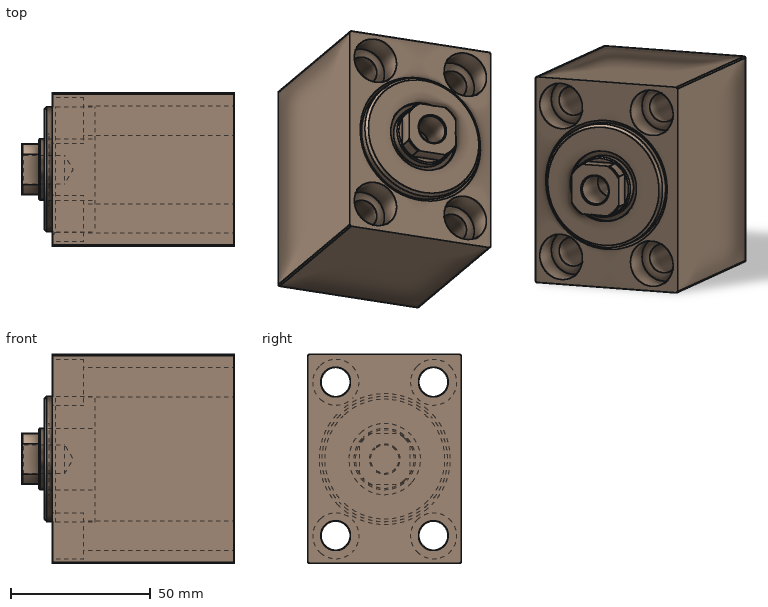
import cadquery as cq
import math


TOTAL_LENGTH = 76.0
HOUSING_WIDTH = 55.0
HOUSING_HEIGHT = 75.0
HOUSING_EDGE_CHAMFER = 0.5
SEAT_DEPTH = 15.2
SEAT_MOUTH_CHAMFER = 1.0

BOLT_SPACING_Y = 35.0
BOLT_SPACING_Z = 55.0
BOLT_HOLE_DIAMETER = 10.5
COUNTERBORE_DIAMETER = 16.5
COUNTERBORE_DEPTH = 11.0

CAP_DIAMETER = 45.0
CAP_PROTRUSION = 3.0
CAP_CHAMFER = 1.0
CAP_RECESS_DIAMETER = 25.6
CAP_RECESS_DEPTH = 1.7

ROD_DIAMETER = 22.05
ROD_COLLAR_PROTRUSION = 2.0
ROD_COLLAR_CHAMFER = 0.5
TIP_LENGTH = 6.0
TIP_DIAMETER = 21.2
TIP_ACROSS_FLATS = 18.2
TIP_CHAMFER = 0.3
SOCKET_DIAMETER = 10.2
SOCKET_MOUTH_CHAMFER = 0.4
SOCKET_DEPTH = 15.2
DRILL_POINT_ANGLE = 118.0

CAP_FACE_X = -CAP_PROTRUSION
COLLAR_FACE_X = CAP_FACE_X - ROD_COLLAR_PROTRUSION
TIP_FACE_X = COLLAR_FACE_X - TIP_LENGTH
HOUSING_LENGTH = TOTAL_LENGTH + TIP_FACE_X


def cylinder(diameter, start_x, length):
    """Solid cylinder along +X."""
    return cq.Workplane("YZ", origin=(start_x, 0, 0)).circle(diameter / 2).extrude(length)


def cone(start_diameter, end_diameter, start_x, length):
    """Solid cone or truncated cone along +X."""
    return cq.Workplane(
        cq.Solid.makeCone(
            start_diameter / 2, end_diameter / 2, length, cq.Vector(start_x, 0, 0), cq.Vector(1, 0, 0)
        )
    )


def make_housing():
    block = (
        cq.Workplane("YZ")
        .rect(HOUSING_WIDTH, HOUSING_HEIGHT)
        .extrude(HOUSING_LENGTH)
        .edges("|X")
        .chamfer(HOUSING_EDGE_CHAMFER)
    )
    drilled_block = (
        block.faces("<X")
        .workplane(origin=(0, 0, 0))
        .rect(BOLT_SPACING_Y, BOLT_SPACING_Z, forConstruction=True)
        .vertices()
        .cboreHole(BOLT_HOLE_DIAMETER, COUNTERBORE_DIAMETER, COUNTERBORE_DEPTH)
    )
    seat = cylinder(CAP_DIAMETER, 0, SEAT_DEPTH)
    seat_mouth = cone(CAP_DIAMETER + 2 * SEAT_MOUTH_CHAMFER, CAP_DIAMETER, 0, SEAT_MOUTH_CHAMFER)
    return drilled_block.cut(seat).cut(seat_mouth)


def make_cap():
    disc = cylinder(CAP_DIAMETER, CAP_FACE_X, CAP_PROTRUSION + SEAT_DEPTH).faces("<X").chamfer(CAP_CHAMFER)
    rod_bore = cylinder(ROD_DIAMETER, CAP_FACE_X, CAP_PROTRUSION + SEAT_DEPTH)
    recess = cylinder(CAP_RECESS_DIAMETER, CAP_FACE_X, CAP_RECESS_DEPTH)
    return disc.cut(rod_bore).cut(recess)


def make_socket():
    """Blind hole with a countersunk mouth and a drill-point bottom."""
    bore = cylinder(SOCKET_DIAMETER, TIP_FACE_X, SOCKET_DEPTH)
    mouth = cone(
        SOCKET_DIAMETER + 2 * SOCKET_MOUTH_CHAMFER, SOCKET_DIAMETER, TIP_FACE_X, SOCKET_MOUTH_CHAMFER
    )
    point_length = SOCKET_DIAMETER / 2 / math.tan(math.radians(DRILL_POINT_ANGLE / 2))
    point = cone(SOCKET_DIAMETER, 0, TIP_FACE_X + SOCKET_DEPTH, point_length)
    return bore.union(mouth).union(point)


def make_rod():
    shaft = cylinder(ROD_DIAMETER, COLLAR_FACE_X, SEAT_DEPTH - COLLAR_FACE_X)
    shaft = shaft.faces("<X").chamfer(ROD_COLLAR_CHAMFER)
    tip = cylinder(TIP_DIAMETER, TIP_FACE_X, TIP_LENGTH).faces("<X").chamfer(TIP_CHAMFER)
    flats = (
        cq.Workplane("YZ", origin=(TIP_FACE_X, 0, 0))
        .rect(TIP_ACROSS_FLATS, TIP_ACROSS_FLATS)
        .extrude(TIP_LENGTH)
    )
    return shaft.union(tip.intersect(flats)).cut(make_socket())


housing = make_housing()
cap = make_cap()
rod = make_rod()

result = cq.Compound.makeCompound([housing.val(), cap.val(), rod.val()])